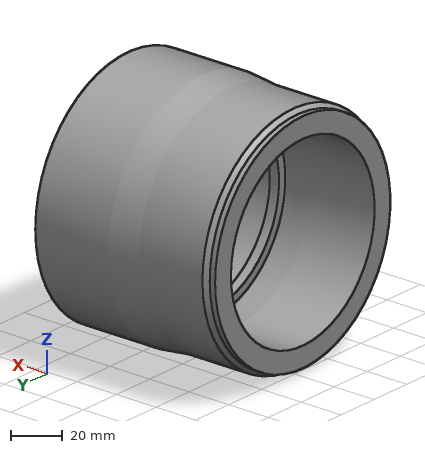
import cadquery as cq

length = 88.0
nose_length = 2.7
chamfer_end = 4.9
taper_start = 37.1
taper_end = 51.0

nose_diameter = 106.2
spigot_diameter = 110.0
socket_diameter = 113.0

entry_bore_diameter = 87.0
exit_bore_diameter = 90.0
lip_diameter = 82.4
bore_taper_start = 32.4
lip_end = taper_end
lip_start = bore_taper_start + (taper_end - taper_start)


wall_section = [
    (0, nose_diameter / 2),
    (nose_length, nose_diameter / 2),
    (chamfer_end, spigot_diameter / 2),
    (taper_start, spigot_diameter / 2),
    (taper_end, socket_diameter / 2),
    (length, socket_diameter / 2),
    (length, exit_bore_diameter / 2),
    (lip_end, exit_bore_diameter / 2),
    (lip_end, lip_diameter / 2),
    (lip_start, lip_diameter / 2),
    (lip_start, exit_bore_diameter / 2),
    (bore_taper_start, entry_bore_diameter / 2),
    (0, entry_bore_diameter / 2),
]

result = cq.Workplane("XY").polyline(wall_section).close().revolve(360, (0, 0, 0), (1, 0, 0))